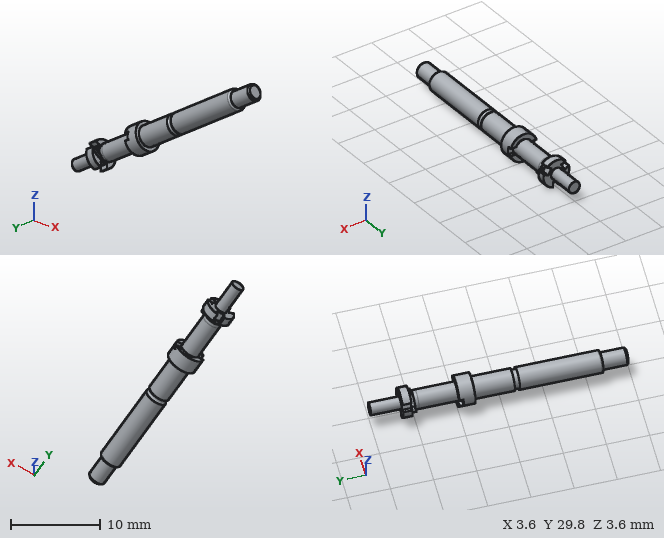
import cadquery as cq
import math

total_length = 29.8
collar_diameter = 3.6

front_pin_end = 2.98
groove_start = 12.7
groove_end = 13.3
groove_middle = (groove_start + groove_end) / 2
collar_front = 17.97
collar_back = 19.82
sleeve_taper_start = 24.35
lug_front = 24.8
ring_front = 25.25
ring_back = 26.28

front_pin_radius = 1.0
body_radius = 1.3
groove_radius = 1.1
sleeve_radius = 1.13
sleeve_end_radius = 1.1
ring_radius = 1.75
back_pin_radius = 0.75
core_radius = 0.9

front_tip_chamfer = 0.2
body_edge_round = 0.2

collar_notch_width = 0.95
collar_notch_depth = 0.48

ring_slot_width = 0.9
ring_slot_floor = 1.05
ring_slot_angles = (30, 150, 270)

lug_slope = 30.0
lug_half_height = 1.1
lug_half_width = 1.67
lug_step_distance = 0.8


def shaft_profile():
    """Half section in (radius, y) of every round section except the collar and the ring."""
    return (
        cq.Workplane("XY")
        .moveTo(0, 0)
        .lineTo(front_pin_radius - front_tip_chamfer, 0)
        .lineTo(front_pin_radius, front_tip_chamfer)
        .lineTo(front_pin_radius, front_pin_end)
        .lineTo(body_radius - body_edge_round, front_pin_end)
        .radiusArc((body_radius, front_pin_end + body_edge_round), -body_edge_round)
        .lineTo(body_radius, groove_start)
        .threePointArc((groove_radius, groove_middle), (body_radius, groove_end))
        .lineTo(body_radius, collar_front)
        .lineTo(sleeve_radius, collar_front)
        .lineTo(sleeve_radius, sleeve_taper_start)
        .lineTo(sleeve_end_radius, lug_front)
        .lineTo(core_radius, lug_front)
        .lineTo(core_radius, ring_front)
        .lineTo(back_pin_radius, ring_front)
        .lineTo(back_pin_radius, total_length)
        .lineTo(0, total_length)
        .close()
    )


def across_axis(y):
    """Workplane facing +Y at station y, with local x = -X and local y = Z."""
    return cq.Workplane(cq.Plane(origin=(0, y, 0), xDir=(-1, 0, 0), normal=(0, 1, 0)))


def notched_collar():
    """Collar with a notch at each side of its back face."""
    collar = across_axis(collar_front).circle(collar_diameter / 2).extrude(collar_back - collar_front)
    notch = (
        across_axis(collar_back - collar_notch_depth)
        .rect(collar_diameter, collar_notch_width)
        .extrude(collar_notch_depth)
    )
    return collar.cut(notch)


def slotted_ring():
    """Flat ring parted into three lobes by parallel-sided slots."""
    thickness = ring_back - ring_front
    ring = across_axis(ring_front).circle(ring_radius).extrude(thickness)
    slot = (
        across_axis(ring_front)
        .center(ring_slot_floor + ring_radius / 2, 0)
        .rect(ring_radius, ring_slot_width)
        .extrude(thickness)
    )
    for angle in ring_slot_angles:
        ring = ring.cut(slot.rotate((0, 0, 0), (0, 1, 0), angle))
    return ring


def diamond_lug():
    """Diamond whose two upper sides step inwards before they reach the side tips."""
    cosine = math.cos(math.radians(lug_slope))
    sine = math.sin(math.radians(lug_slope))
    main_offset = lug_half_height * cosine
    tip_offset = lug_half_width * sine

    def on_slope(offset):
        """Point at the step on a side lying at this distance from the axis."""
        x = offset * sine + lug_step_distance * cosine
        z = offset * cosine - lug_step_distance * sine
        return x, z

    half_outline = [
        (0, -lug_half_height),
        (0, lug_half_height),
        on_slope(main_offset),
        on_slope(tip_offset),
        (lug_half_width, 0),
    ]
    half = across_axis(lug_front).polyline(half_outline).close().extrude(ring_front - lug_front)
    return half.union(half.mirror("YZ"))


shaft = shaft_profile().revolve(360, (0, 0, 0), (0, 1, 0))
result = shaft.union(notched_collar()).union(slotted_ring()).union(diamond_lug())